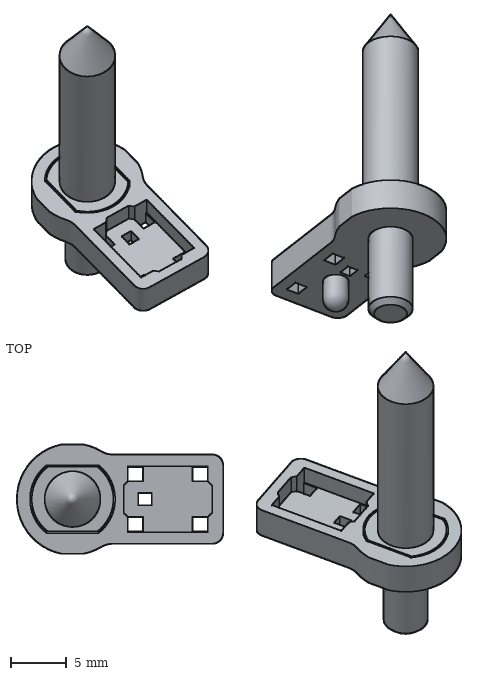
import cadquery as cq
import math

TOTAL_HEIGHT = 32.0
PLATE_BOTTOM = 8.0
PLATE_TOP = 11.0
CONE_BASE = 28.0

UPPER_RADIUS = 2.5
LOWER_RADIUS = 2.0
END_CHAMFER = 0.5
FLANGE_THICKNESS = 2.0

SEAT_RADIUS = 3.8
SEAT_HALF_WIDTH = 3.05
SEAT_CLEARANCE = 0.15

HEAD_RADIUS = 5.0
HEAD_HALF_WIDTH = 4.9
ARM_HALF_WIDTH = 4.0
ARM_END_X = 13.47
ARM_CORNER_RADIUS = 1.0
BLEND_RADIUS = 2.0

POCKET_X = 8.5
POCKET_LENGTH = 7.15
POCKET_WIDTH = 5.9
POCKET_DEPTH = 1.75
BULGE = 0.4
BULGE_WIDTH = 3.2

CORNER_HOLE_LENGTH = 1.35
CORNER_HOLE_INSET = 0.1
SMALL_HOLE_X = 6.45
SMALL_HOLE_LENGTH = 1.2
SMALL_HOLE_WIDTH = 1.05

PEG_RADIUS = 1.15
PEG_LENGTH = 3.0

PLATE_THICKNESS = PLATE_TOP - PLATE_BOTTOM
FLANGE_BOTTOM = PLATE_TOP - FLANGE_THICKNESS


def flatted_disc(radius, half_width, bottom, height):
    """Disc on the Z axis, cut by flats at Y = +/- half_width."""
    disc = cq.Workplane("XY", origin=(0, 0, bottom)).circle(radius).extrude(height)
    band = cq.Workplane("XY", origin=(0, 0, bottom)).rect(2 * radius, 2 * half_width).extrude(height)
    return disc.intersect(band)


def make_arm():
    """Arm with rounded end corners and concave blends tangent to the round head."""
    blend_y = ARM_HALF_WIDTH + BLEND_RADIUS
    centre_distance = HEAD_RADIUS + BLEND_RADIUS
    blend_x = math.sqrt(centre_distance**2 - blend_y**2)
    head_x = blend_x * HEAD_RADIUS / centre_distance
    head_y = blend_y * HEAD_RADIUS / centre_distance
    half_angle = math.asin(blend_x / centre_distance) / 2
    middle_x = blend_x - BLEND_RADIUS * math.sin(half_angle)
    middle_y = blend_y - BLEND_RADIUS * math.cos(half_angle)
    return (
        cq.Workplane("XY", origin=(0, 0, PLATE_BOTTOM))
        .moveTo(0, -head_y)
        .lineTo(head_x, -head_y)
        .threePointArc((middle_x, -middle_y), (blend_x, -ARM_HALF_WIDTH))
        .lineTo(ARM_END_X, -ARM_HALF_WIDTH)
        .lineTo(ARM_END_X, ARM_HALF_WIDTH)
        .lineTo(blend_x, ARM_HALF_WIDTH)
        .threePointArc((middle_x, middle_y), (head_x, head_y))
        .lineTo(0, head_y)
        .close()
        .extrude(PLATE_THICKNESS)
        .edges("|Z and >X")
        .fillet(ARM_CORNER_RADIUS)
    )


def make_pocket():
    """Volume of the arm pocket, including its end bulges."""
    floor = cq.Workplane("XY", origin=(POCKET_X, 0, PLATE_TOP - POCKET_DEPTH))
    main = floor.rect(POCKET_LENGTH, POCKET_WIDTH).extrude(POCKET_DEPTH)
    bulges = (
        floor.rect(POCKET_LENGTH + 2 * BULGE, BULGE_WIDTH)
        .extrude(POCKET_DEPTH)
        .edges("|Z")
        .chamfer(BULGE)
    )
    return main.union(bulges)


def make_floor_holes():
    """Four corner holes beside the bulges and one small hole on the centre line."""
    outer_y = POCKET_WIDTH / 2 - CORNER_HOLE_INSET
    inner_y = BULGE_WIDTH / 2
    spacing_x = POCKET_LENGTH - CORNER_HOLE_LENGTH
    spacing_y = outer_y + inner_y
    corners = (
        cq.Workplane("XY", origin=(POCKET_X, 0, PLATE_BOTTOM))
        .rarray(spacing_x, spacing_y, 2, 2)
        .rect(CORNER_HOLE_LENGTH, outer_y - inner_y)
        .extrude(PLATE_THICKNESS)
    )
    small = (
        cq.Workplane("XY", origin=(SMALL_HOLE_X, 0, PLATE_BOTTOM))
        .rect(SMALL_HOLE_LENGTH, SMALL_HOLE_WIDTH)
        .extrude(PLATE_THICKNESS)
    )
    return corners.add(small).combine()


def make_peg():
    """Peg with a hemispherical lower end, hanging from the plate."""
    return (
        cq.Workplane("XY", origin=(POCKET_X, 0, PLATE_BOTTOM))
        .circle(PEG_RADIUS)
        .extrude(PEG_RADIUS - PEG_LENGTH)
        .union(
            cq.Workplane("XY", origin=(POCKET_X, 0, PLATE_BOTTOM - PEG_LENGTH + PEG_RADIUS))
            .sphere(PEG_RADIUS)
        )
    )


def make_housing():
    """Plate with head, arm and peg, holding the pin in a flatted seat."""
    head = flatted_disc(HEAD_RADIUS, HEAD_HALF_WIDTH, PLATE_BOTTOM, PLATE_THICKNESS)
    seat = flatted_disc(SEAT_RADIUS, SEAT_HALF_WIDTH, FLANGE_BOTTOM, FLANGE_THICKNESS)
    bore = cq.Workplane("XY", origin=(0, 0, PLATE_BOTTOM)).circle(LOWER_RADIUS).extrude(PLATE_THICKNESS)
    return (
        head.union(make_arm())
        .union(make_peg())
        .cut(seat)
        .cut(bore)
        .cut(make_pocket())
        .cut(make_floor_holes())
    )


def make_pin():
    """Pointed pin with a chamfered lower end and a flatted flange."""
    shaft = (
        cq.Workplane("XZ")
        .moveTo(0, 0)
        .lineTo(LOWER_RADIUS - END_CHAMFER, 0)
        .lineTo(LOWER_RADIUS, END_CHAMFER)
        .lineTo(LOWER_RADIUS, FLANGE_BOTTOM)
        .lineTo(UPPER_RADIUS, FLANGE_BOTTOM)
        .lineTo(UPPER_RADIUS, CONE_BASE)
        .lineTo(0, TOTAL_HEIGHT)
        .close()
        .revolve(360, (0, 0, 0), (0, 1, 0))
    )
    flange = flatted_disc(
        SEAT_RADIUS - SEAT_CLEARANCE,
        SEAT_HALF_WIDTH - SEAT_CLEARANCE,
        FLANGE_BOTTOM,
        FLANGE_THICKNESS,
    )
    return shaft.union(flange)


housing = make_housing()
pin = make_pin()

result = cq.Compound.makeCompound([housing.solids().val(), pin.solids().val()])